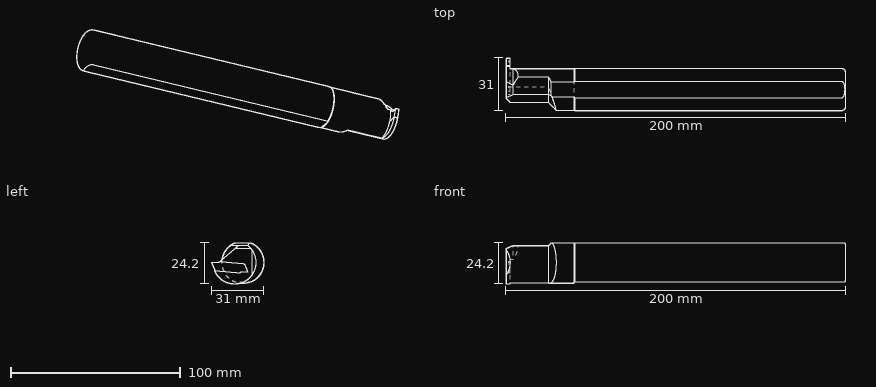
import cadquery as cq
import math


bar_length = 200.0
shank_radius = 12.5
flat_height = 11.5
shank_start = 40.0
end_fillet = 2.5
step_length = 0.5

collar_radius = 12.3
neck_length = 25.0
neck_axis_y = 5.0
neck_radius = 12.7
neck_flat_height = 9.9
nose_top_drop = 1.7
nose_top_length = 4.0
nose_side_y = -5.2
blade_thickness = 2.4

floor_start_y = 14.2
floor_angle = math.degrees(math.atan2(8.1, 9.4))
floor_length = 4.1

tip_y = 18.5
insert_mid_y = 7.75
insert_mid_z = -2.85
shoulder_rise = 0.5
top_end_y = -0.9
top_end_z = -0.8
relief_depth = 0.2
relief_edge_y = 17.7
relief_edge_z = -2.0

reach = 40.0


def bar_along_x(radius, start, end, axis_y=0.0):
    plane = cq.Workplane("YZ", origin=(start, axis_y, 0))
    return plane.circle(radius).extrude(end - start)


def half_turn(point):
    return (2 * insert_mid_y - point[0], 2 * insert_mid_z - point[1])


def make_shank():
    profile = [
        (shank_start, 0),
        (shank_start, collar_radius),
        (shank_start + step_length, shank_radius),
        (bar_length, shank_radius),
        (bar_length, 0),
    ]
    shank = cq.Workplane("XY").polyline(profile).close().revolve(360, (0, 0), (1, 0))
    shank = shank.faces(">X").edges().fillet(end_fillet)
    flats = cq.Workplane("XY").box(2 * bar_length, reach, 2 * flat_height)
    return shank.intersect(flats)


def make_neck_limit():
    """Offset round that flares at 45 degrees behind the neck."""
    flare_length = shank_start - neck_length
    flare_radius = neck_radius + flare_length
    profile = [
        (0, 0),
        (0, neck_radius),
        (neck_length, neck_radius),
        (shank_start, flare_radius),
        (shank_start, 0),
    ]
    limit = cq.Workplane("XY").polyline(profile).close().revolve(360, (0, 0), (1, 0))
    return limit.translate((0, neck_axis_y, 0))


def make_top_limit():
    """Side outline of the top: nose chamfer, neck flat, slope and collar flat."""
    slope_end = neck_length + flat_height - neck_flat_height
    outline = [
        (0, -reach),
        (0, neck_flat_height - nose_top_drop),
        (nose_top_length, neck_flat_height),
        (neck_length, neck_flat_height),
        (slope_end, flat_height),
        (shank_start, flat_height),
        (shank_start, -reach),
    ]
    return cq.Workplane("XZ").polyline(outline).close().extrude(reach, both=True)


def make_side_chamfer():
    corner = [(0, nose_side_y), (0, nose_side_y - reach), (reach, nose_side_y - reach)]
    return cq.Workplane("XY").polyline(corner).close().extrude(reach, both=True)


def make_chip_clearance():
    """Wedge above the sloped floor, kept above the height of the cutting edge."""
    outline = [
        (-reach, 0),
        (floor_length, 0),
        (floor_length + reach, reach),
        (-reach, reach),
    ]
    wedge = cq.Workplane("XZ").polyline(outline).close().extrude(reach, both=True)
    wedge = wedge.rotate((0, 0, 0), (1, 0, 0), -floor_angle)
    wedge = wedge.translate((0, floor_start_y, 0))
    above_tip = cq.Workplane("XY").box(4 * reach, 4 * reach, reach, centered=(True, True, False))
    return wedge.intersect(above_tip)


shoulder_y = floor_start_y - shoulder_rise / math.tan(math.radians(floor_angle))
cutting_tip = (tip_y, 0)
rake_end = (floor_start_y, 0)
shoulder = (shoulder_y, shoulder_rise)
top_end = (top_end_y, top_end_z)
upper_corners = [cutting_tip, rake_end, shoulder, top_end]
insert_corners = upper_corners + [half_turn(corner) for corner in upper_corners]


def make_insert_pocket():
    """Insert outline, opened past the tip so that the blade ends under the insert."""
    seat_corner = half_turn(top_end)
    opening = [
        rake_end,
        (tip_y + reach, 0),
        (tip_y + reach, seat_corner[1]),
        seat_corner,
    ]
    pocket = cq.Workplane("YZ").polyline(insert_corners).close().extrude(blade_thickness)
    return pocket.union(cq.Workplane("YZ").polyline(opening).close().extrude(blade_thickness))


def make_holder():
    limit = make_neck_limit().intersect(make_top_limit())
    head = bar_along_x(collar_radius, 0, shank_start).intersect(limit)
    blade = bar_along_x(neck_radius, 0, blade_thickness, neck_axis_y).intersect(make_top_limit())
    head = head.union(blade).cut(make_side_chamfer())
    head = head.cut(make_chip_clearance()).cut(make_insert_pocket())
    return head.union(make_shank())


def make_corner_relief():
    """Tetrahedron that slopes the front face away towards the cutting tip."""
    front_tip = cq.Vector(0, *cutting_tip)
    sunk_tip = cq.Vector(relief_depth, *cutting_tip)
    rake_point = cq.Vector(0, *rake_end)
    flank_point = cq.Vector(0, relief_edge_y, relief_edge_z)
    triangles = [
        (front_tip, rake_point, flank_point),
        (front_tip, rake_point, sunk_tip),
        (front_tip, flank_point, sunk_tip),
        (rake_point, flank_point, sunk_tip),
    ]
    faces = [cq.Face.makeFromWires(cq.Wire.makePolygon(t, close=True)) for t in triangles]
    return cq.Workplane(cq.Solid.makeSolid(cq.Shell.makeShell(faces)))


def make_insert():
    insert = cq.Workplane("YZ").polyline(insert_corners).close().extrude(blade_thickness)
    relief = make_corner_relief()
    axis_start = (0, insert_mid_y, insert_mid_z)
    axis_end = (1, insert_mid_y, insert_mid_z)
    for turn in (0, 180):
        insert = insert.cut(relief.rotate(axis_start, axis_end, turn))
    return insert


holder = make_holder()
insert = make_insert()
result = cq.Compound.makeCompound([holder.solids().val(), insert.solids().val()])